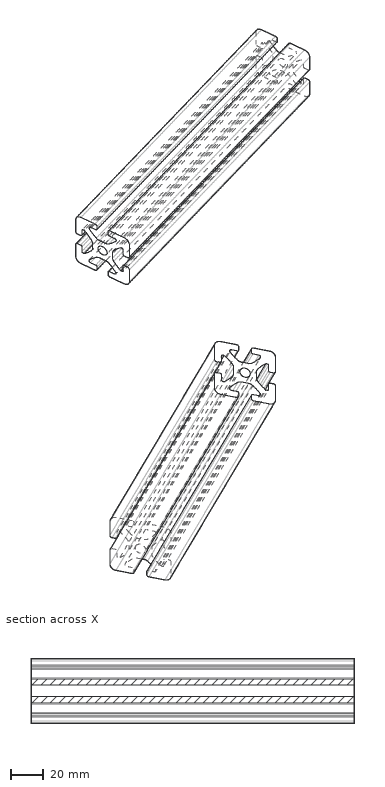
import cadquery as cq
import math

side = 40.0
length = 200.0
corner_radius = 4.0

bore_diameter = 6.8

slot_count = 4
slot_opening = 8.2
lip_thickness = 4.65
outer_lip_radius = 1.5
inner_lip_radius = 1.0
cavity_width = 20.0
cavity_corner_radius = 1.0

floor_distance = 7.5
floor_width = 4.6
floor_radius = 3.8
floor_arc_angle = 38.5
web_radius = 34.0

half_side = side / 2
half_opening = slot_opening / 2
half_cavity = cavity_width / 2
half_floor = floor_width / 2
lip_inside = half_side - lip_thickness


def extrude_centered(outline):
    """Extrude an XZ outline over the whole length, centered on the origin."""
    return outline.extrude(length / 2, both=True)


def edges_at(body, x, z):
    """Select the mirrored pair of long edges passing through (x, z) and (-x, z)."""
    right = cq.selectors.NearestToPointSelector((x, 0, z))
    left = cq.selectors.NearestToPointSelector((-x, 0, z))
    return body.edges("|Y").edges(right + left)


def rising_arc_point(start, radius, start_slope, end_slope):
    """Point where an upward-curving arc from start reaches end_slope (slopes in radians)."""
    x = start[0] + radius * (math.sin(end_slope) - math.sin(start_slope))
    z = start[1] + radius * (math.cos(start_slope) - math.cos(end_slope))
    return (x, z)


def mirrored(point):
    """Reflect an outline point across the Z axis."""
    return (-point[0], point[1])


def make_bar():
    """Square bar along Y with rounded long edges and an axial bore."""
    bar = extrude_centered(cq.Workplane("XZ").rect(side, side))
    bar = bar.edges("|Y").fillet(corner_radius)
    bore = extrude_centered(cq.Workplane("XZ").circle(bore_diameter / 2))
    return bar.cut(bore)


def make_slot_cutter():
    """T-slot volume open toward +Z, with a curved floor and rounded cavity corners."""
    floor_end = (half_floor, floor_distance)
    blend_slope = math.radians(floor_arc_angle)
    floor_mid = rising_arc_point(floor_end, floor_radius, 0, blend_slope / 2)
    blend = rising_arc_point(floor_end, floor_radius, 0, blend_slope)

    wall_slope = math.asin(math.sin(blend_slope) + (half_cavity - blend[0]) / web_radius)
    middle_slope = (blend_slope + wall_slope) / 2
    web_mid = rising_arc_point(blend, web_radius, blend_slope, middle_slope)
    web_end = rising_arc_point(blend, web_radius, blend_slope, wall_slope)

    cavity_corner = (half_cavity, lip_inside)
    lip_corner = (half_opening, lip_inside)
    opening_corner = (half_opening, half_side)

    outline = (
        cq.Workplane("XZ")
        .moveTo(*mirrored(floor_end))
        .lineTo(*floor_end)
        .threePointArc(floor_mid, blend)
        .threePointArc(web_mid, web_end)
        .lineTo(*cavity_corner)
        .lineTo(*lip_corner)
        .lineTo(*opening_corner)
        .lineTo(*mirrored(opening_corner))
        .lineTo(*mirrored(lip_corner))
        .lineTo(*mirrored(cavity_corner))
        .lineTo(*mirrored(web_end))
        .threePointArc(mirrored(web_mid), mirrored(blend))
        .threePointArc(mirrored(floor_mid), mirrored(floor_end))
        .close()
    )
    cutter = extrude_centered(outline)
    return edges_at(cutter, *cavity_corner).fillet(cavity_corner_radius)


def round_lips(body):
    """Round the outer and inner edges of the two lips facing +Z."""
    body = edges_at(body, half_opening, half_side).fillet(outer_lip_radius)
    return edges_at(body, half_opening, lip_inside).fillet(inner_lip_radius)


result = make_bar()
slot_cutter = make_slot_cutter()
for _ in range(slot_count):
    result = round_lips(result.cut(slot_cutter))
    result = result.rotate((0, 0, 0), (0, 1, 0), 360 / slot_count)